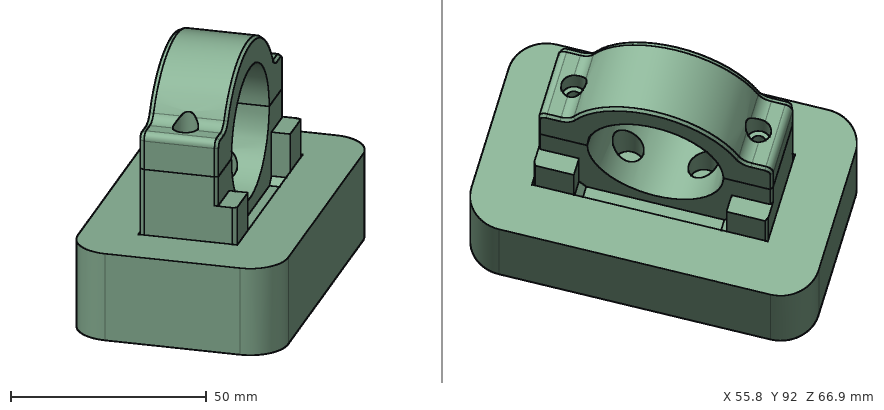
import cadquery as cq
import math

base_size_x = 55.8
base_size_y = 92.0
base_height = 24.0
base_corner_radius = 10.0

bore_radius = 18.0
outer_radius = 24.9
axis_height = base_height + bore_radius
half_length = 12.9
half_width = 31.0
step_length = 5.0
ring_end_x = half_length - step_length
ring_middle_x = (ring_end_x - half_length) / 2
step_top_z = axis_height - 8.0

flange_height = 9.9
flange_corner_radius = 2.0
arch_fillet_radius = 4.0

front_chamfer_length = 1.2
back_chamfer_length = 0.9
chamfer_depth = 0.55

pocket_clearance = 0.3
pocket_depth = outer_radius - bore_radius
pocket_floor_z = base_height - pocket_depth

slot_half_width = 20.2
slot_chamfer = 1.9
slot_depth = 4.05
slot_floor_z = base_height - slot_depth

clamp_screw_y = 24.5
clamp_hole_diameter = 3.8
counterbore_diameter = 6.5
counterbore_depth = 6.0
mounting_screw_y = 10.0
mounting_hole_diameter = 8.0


def box(x_min, x_max, half_y, z_min, z_max):
    """Box centred on Y."""
    size = (x_max - x_min, 2 * half_y, z_max - z_min)
    return cq.Workplane("XY").box(*size, centered=(False, True, False)).translate((x_min, 0, z_min))


def vertical_cylinder(diameter, x, y, z_min, z_max):
    return cq.Workplane("XY", origin=(x, y, z_min)).circle(diameter / 2).extrude(z_max - z_min)


def ring_outline(x, inset):
    """Arch with a flange on each side, down to the pocket floor, moved inward by the inset."""
    side = half_width - inset
    flange_top = axis_height + flange_height - inset
    corner = flange_corner_radius - inset
    fillet = arch_fillet_radius + inset
    arch = outer_radius - inset

    fillet_z = flange_top + fillet
    angle = math.asin((fillet_z - axis_height) / (arch + fillet))
    fillet_y = (arch + fillet) * math.cos(angle)
    touch_y = arch * math.cos(angle)
    touch_z = axis_height + arch * math.sin(angle)
    middle_angle = (angle + math.pi / 2) / 2
    middle_y = fillet_y - fillet * math.cos(middle_angle)
    middle_z = fillet_z - fillet * math.sin(middle_angle)
    corner_cut = corner * (1 - math.sqrt(0.5))

    return (
        cq.Workplane("YZ", origin=(x, 0, 0))
        .moveTo(-side, pocket_floor_z)
        .lineTo(side, pocket_floor_z)
        .lineTo(side, flange_top - corner)
        .threePointArc((side - corner_cut, flange_top - corner_cut), (side - corner, flange_top))
        .lineTo(fillet_y, flange_top)
        .threePointArc((middle_y, middle_z), (touch_y, touch_z))
        .threePointArc((0, axis_height + arch), (-touch_y, touch_z))
        .threePointArc((-middle_y, middle_z), (-fillet_y, flange_top))
        .lineTo(corner - side, flange_top)
        .threePointArc((corner_cut - side, flange_top - corner_cut), (-side, flange_top - corner))
        .close()
    )


def make_ring():
    """Housing and cap in one piece, with chamfered ends, before the bore is cut."""
    front_x = front_chamfer_length - half_length
    back_x = ring_end_x - back_chamfer_length
    ring = ring_outline(front_x, 0).extrude(back_x - front_x)
    for full_x, end_x in ((front_x, -half_length), (back_x, ring_end_x)):
        wires = [ring_outline(full_x, 0).val(), ring_outline(end_x, chamfer_depth).val()]
        ring = ring.union(cq.Workplane(cq.Solid.makeLoft(wires, True)))
    return ring


def make_step():
    """Low step behind the ring: chamfered corners and a slot with chamfered floor corners."""
    corner_x = half_length - front_chamfer_length
    step_start_x = ring_end_x - back_chamfer_length
    outline = [
        (step_start_x, -half_width),
        (corner_x, -half_width),
        (half_length, chamfer_depth - half_width),
        (half_length, half_width - chamfer_depth),
        (corner_x, half_width),
        (step_start_x, half_width),
    ]
    step_height = step_top_z - pocket_floor_z
    step = (
        cq.Workplane("XY", origin=(0, 0, pocket_floor_z))
        .polyline(outline)
        .close()
        .extrude(step_height)
    )
    floor_half_width = slot_half_width - slot_chamfer
    slot = (
        cq.Workplane("YZ", origin=(ring_end_x, 0, 0))
        .polyline([
            (-floor_half_width, slot_floor_z),
            (floor_half_width, slot_floor_z),
            (slot_half_width, slot_floor_z + slot_chamfer),
            (slot_half_width, step_top_z),
            (-slot_half_width, step_top_z),
            (-slot_half_width, slot_floor_z + slot_chamfer),
        ])
        .close()
        .extrude(step_length)
    )
    return step.cut(slot)


def make_bore():
    """Cylinder that opens the bore through housing and cap."""
    return (
        cq.Workplane("YZ", origin=(-half_length, 0, axis_height))
        .circle(bore_radius)
        .extrude(2 * half_length)
    )


def make_base():
    """Rounded block with a pocket that holds the housing."""
    base = box(-base_size_x / 2, base_size_x / 2, base_size_y / 2, 0, base_height)
    base = base.edges("|Z").fillet(base_corner_radius)
    pocket_half_length = half_length + pocket_clearance
    pocket_half_width = half_width + pocket_clearance
    return base.cut(
        box(-pocket_half_length, pocket_half_length, pocket_half_width, pocket_floor_z, base_height)
    )


def make_housing(ring):
    """Lower half of the bearing, with its step, clamp screw holes and mounting holes."""
    housing = ring.intersect(box(-half_length, half_length, half_width, pocket_floor_z, axis_height))
    housing = housing.union(make_step()).cut(make_bore())
    for side in (-1, 1):
        housing = housing.cut(vertical_cylinder(
            clamp_hole_diameter, ring_middle_x, side * clamp_screw_y, pocket_floor_z, axis_height))
        housing = housing.cut(vertical_cylinder(
            mounting_hole_diameter, ring_middle_x, side * mounting_screw_y, pocket_floor_z, axis_height))
    return housing


def make_cap(ring):
    """Upper half of the bearing, with counterbored clamp screw holes."""
    arch_top_z = axis_height + outer_radius
    counterbore_floor_z = axis_height + flange_height - counterbore_depth
    cap = ring.intersect(box(-half_length, half_length, half_width, axis_height, arch_top_z))
    cap = cap.cut(make_bore())
    for side in (-1, 1):
        screw_y = side * clamp_screw_y
        cap = cap.cut(vertical_cylinder(
            clamp_hole_diameter, ring_middle_x, screw_y, axis_height, arch_top_z))
        cap = cap.cut(vertical_cylinder(
            counterbore_diameter, ring_middle_x, screw_y, counterbore_floor_z, arch_top_z))
    return cap


ring = make_ring()
base = make_base()
housing = make_housing(ring)
cap = make_cap(ring)

result = cq.Compound.makeCompound([base.val(), housing.val(), cap.val()])